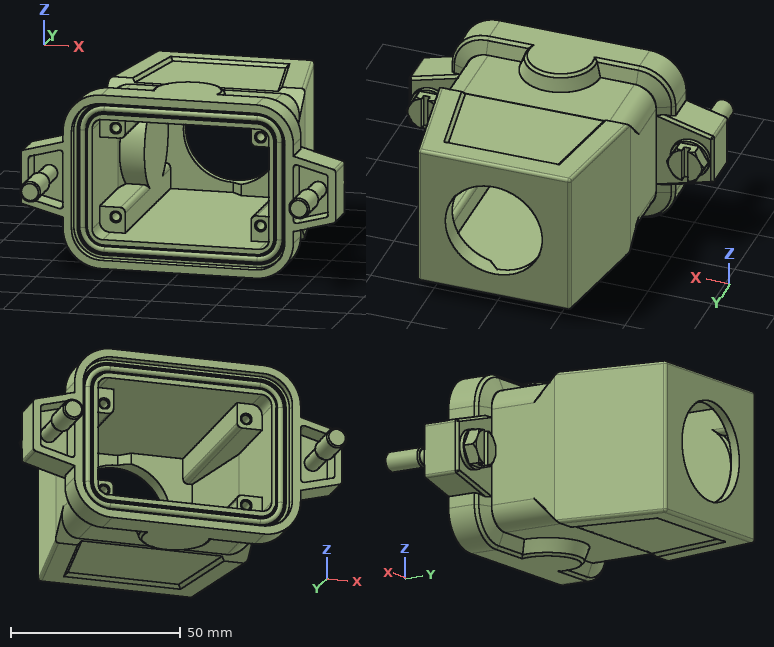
import cadquery as cq
import math


FLANGE_HALF_X = 35.1
FLANGE_HALF_Z = 26.5
FLANGE_CORNER = 11.5
FLANGE_WALL_END = 9.2
FLANGE_CHAMFER = 1.0
SHOULDER_Y = 11.9

BODY_HALF_X = 30.0
BODY_HALF_Z = 21.5
BODY_CORNER = 6.9

TAPER_START = 34.2
BACK_Y = 69.8
BACK_HALF_X = 24.0
BLOCK_HALF_Z = 23.0
BLOCK_SLOPE_TOP_Y = 35.4
BLOCK_SLOPE_LOW_Z = 14.6
BLOCK_EDGE = 1.0

LABEL_BACK_Y = 63.0
LABEL_MARGIN = 7.0
LABEL_DEPTH = 1.1
LABEL_WALL_ANGLE = 45

PAD_BASE_RADIUS = 12.4
PAD_TOP_RADIUS = 10.8
PAD_CHAMFER = 0.9
PAD_ROOT_DEPTH = 1.0

SEAT_HALF_X = 32.5
SEAT_HALF_Z = 23.9
SEAT_CORNER = 9.1
SEAT_DEPTH = 2.9
GASKET_HALF_X = 30.0
GASKET_HALF_Z = 21.5
GASKET_CORNER = 6.6
GASKET_RADIUS = 1.0
GASKET_RISE = 0.3
GROOVE_HALF_WIDTH = 1.5
GROOVE_DEPTH = 1.2
GROOVE_END_Y = SEAT_DEPTH + GROOVE_DEPTH
GASKET_FOOT_HALF_WIDTH = 1.2
GASKET_FOOT_DROP = 0.6

SIDE_WALL = 3.0
CAVITY_HALF_X = BODY_HALF_X - SIDE_WALL
CAVITY_HALF_Z = 18.3
CAVITY_CORNER = 3.2
FLOOR_Y = 63.8
FLOOR_RAMP_WIDTH = 3.2
DEEP_FLOOR_Y = FLOOR_Y + FLOOR_RAMP_WIDTH
CABLE_HOLE_RADIUS = 15.3

POST_INNER_X = 19.2
POST_INNER_Z = 10.6
POST_FRONT_Y = 12.0
POST_CORNER = 1.5
POST_HOLE_X = 22.1
POST_HOLE_Z = 13.5
POST_HOLE_RADIUS = 1.3
POST_HOLE_DEPTH = 11.5
POST_HOLE_CHAMFER = 0.4
WEB_RADIUS = 14.4
WEB_CENTER_Y = 49.7

TAB_END_X = 48.0
TAB_END_HALF_Z = 8.1
TAB_ROOT_HALF_Z = 11.5
TAB_EDGE = 0.9
TAB_WALL = 2.3
TAB_PLATE = 4.7
TAB_POCKET_CORNER = 1.0

SCREW_X = 41.0
WASHER_RADIUS = 6.0
WASHER_THICKNESS = 1.3
HEX_ACROSS_CORNERS = 11.9
HEX_TOP_Y = 17.3
HEX_EDGE = 0.7
SLOT_WIDTH = 1.9
SLOT_DEPTH = 2.1
NECK_RADIUS = 2.4
THREAD_RADIUS = 3.1
THREAD_START_Y = -4.7
THREAD_TIP_Y = -16.8
THREAD_CHAMFER = 0.5

SIDES = (-1, 1)
TAPER_SLOPE = (BODY_HALF_X - BACK_HALF_X) / (BACK_Y - TAPER_START)


def section(y):
    """Sketch plane at depth y: local x is X, local y is -Z, extrusion runs towards +Y."""
    return cq.Workplane(cq.Plane(origin=(0, y, 0), xDir=(1, 0, 0), normal=(0, 1, 0)))


def rounded_block(half_x, half_z, corner, y0, y1):
    block = section(y0).rect(2 * half_x, 2 * half_z).extrude(y1 - y0)
    return block.edges("|Y").fillet(corner)


def box(x0, x1, y0, y1, z0, z1):
    return cq.Workplane("XY").box(x1 - x0, y1 - y0, z1 - z0, centered=False).translate((x0, y0, z0))


def taper_half_x(start_half_x, y):
    """Half width at depth y of an outline parallel to the block's tapering sides."""
    return start_half_x - TAPER_SLOPE * (y - TAPER_START)


def tapered_prism(half_x, y0, y1, half_z):
    """Plan outline that is straight up to the taper start, then narrows towards the back."""
    end_x = taper_half_x(half_x, y1)
    right = [(half_x, y0), (half_x, TAPER_START), (end_x, y1)]
    left = [(-x, y) for x, y in reversed(right)]
    return cq.Workplane("XY").workplane(offset=-half_z).polyline(right + left).close().extrude(2 * half_z)


def make_flange():
    """Upright wall with a chamfered edge, then a flat slope rising to the body."""
    slope_start = FLANGE_WALL_END + FLANGE_CHAMFER
    wall = rounded_block(FLANGE_HALF_X, FLANGE_HALF_Z, FLANGE_CORNER, 0, slope_start)
    wall = wall.faces(">Y").edges().chamfer(FLANGE_CHAMFER)
    inset = FLANGE_HALF_X - FLANGE_CHAMFER - BODY_HALF_X
    slope_angle = math.degrees(math.atan2(inset, SHOULDER_Y - slope_start))
    outline = cq.Sketch().rect(
        2 * (FLANGE_HALF_X - FLANGE_CHAMFER), 2 * (FLANGE_HALF_Z - FLANGE_CHAMFER)
    ).vertices().fillet(FLANGE_CORNER - FLANGE_CHAMFER)
    slope = section(slope_start).placeSketch(outline).extrude(SHOULDER_Y - slope_start, taper=slope_angle)
    return wall.union(slope)


def make_tapered_block():
    slope_low_y = BLOCK_SLOPE_TOP_Y - (BLOCK_HALF_Z - BLOCK_SLOPE_LOW_Z)
    plan = tapered_prism(BODY_HALF_X, slope_low_y, BACK_Y, BLOCK_HALF_Z)
    top_and_bottom = plan.faces(">Z or <Z").edges()
    behind_shoulder = top_and_bottom.filter(lambda edge: edge.Center().y > TAPER_START)
    taper_edges = behind_shoulder.filter(lambda edge: abs(edge.Center().x) > BACK_HALF_X / 2)
    plan = taper_edges.add(plan.faces(">Y").edges()).fillet(BLOCK_EDGE)
    upper = [
        (slope_low_y, BLOCK_SLOPE_LOW_Z),
        (BLOCK_SLOPE_TOP_Y, BLOCK_HALF_Z),
        (BACK_Y, BLOCK_HALF_Z),
    ]
    lower = [(y, -z) for y, z in reversed(upper)]
    side = cq.Workplane("YZ").polyline(upper + lower).close().extrude(BODY_HALF_X, both=True)
    return plan.intersect(side)


def make_label_recess(side):
    """Shallow trapezoid with sloped walls, open towards the mouth."""
    front_y = TAPER_START - 2 * LABEL_DEPTH
    front_x = taper_half_x(BODY_HALF_X - LABEL_MARGIN, front_y)
    back_x = taper_half_x(BODY_HALF_X - LABEL_MARGIN, LABEL_BACK_Y)
    outline = [(-front_x, front_y), (front_x, front_y), (back_x, LABEL_BACK_Y), (-back_x, LABEL_BACK_Y)]
    recess = (
        cq.Workplane("XY", origin=(0, 0, BLOCK_HALF_Z))
        .polyline(outline).close().extrude(-LABEL_DEPTH, taper=LABEL_WALL_ANGLE)
    )
    return recess if side > 0 else recess.mirror("XY")


def make_pad(side):
    """Conical half-round pad standing on the body and flush with the flange."""
    chamfer_z = FLANGE_HALF_Z - PAD_CHAMFER
    draft = (PAD_BASE_RADIUS - PAD_TOP_RADIUS) / (chamfer_z - BODY_HALF_Z)
    root_z = BODY_HALF_Z - PAD_ROOT_DEPTH
    profile = [
        (0, root_z),
        (PAD_BASE_RADIUS + draft * PAD_ROOT_DEPTH, root_z),
        (PAD_TOP_RADIUS, chamfer_z),
        (PAD_TOP_RADIUS - PAD_CHAMFER, FLANGE_HALF_Z),
        (0, FLANGE_HALF_Z),
    ]
    cone = cq.Workplane("XZ").polyline(profile).close().revolve(360, (0, 0), (0, 1))
    cone = cone.translate((0, SHOULDER_Y, 0))
    reach = 2 * PAD_BASE_RADIUS
    pad = cone.intersect(box(-reach, reach, FLANGE_WALL_END, SHOULDER_Y + reach, 0, FLANGE_HALF_Z))
    return pad if side > 0 else pad.mirror("XY")


def tab_half_z(x):
    share = (x - FLANGE_HALF_X) / (TAB_END_X - FLANGE_HALF_X)
    return TAB_ROOT_HALF_Z + share * (TAB_END_HALF_Z - TAB_ROOT_HALF_Z)


def tab_prism(x0, x1, inset, depth):
    z0 = tab_half_z(x0) - inset
    z1 = tab_half_z(x1) - inset
    return section(0).polyline([(x0, -z0), (x1, -z1), (x1, z1), (x0, z0)]).close().extrude(depth)


def make_tab():
    tab = tab_prism(BODY_HALF_X, TAB_END_X, 0, SHOULDER_Y)
    tab = tab.edges("|Y and >X").fillet(TAB_EDGE)
    return tab.faces(">Y").edges("not <X").chamfer(TAB_EDGE)


def make_tab_pocket():
    pocket = tab_prism(FLANGE_HALF_X, TAB_END_X - TAB_WALL, TAB_WALL, SHOULDER_Y - TAB_PLATE)
    return pocket.edges("|Y").fillet(TAB_POCKET_CORNER)


def make_screw():
    hex_y = SHOULDER_Y + WASHER_THICKNESS
    profile = [
        (0, THREAD_TIP_Y),
        (THREAD_RADIUS - THREAD_CHAMFER, THREAD_TIP_Y),
        (THREAD_RADIUS, THREAD_TIP_Y + THREAD_CHAMFER),
        (THREAD_RADIUS, THREAD_START_Y - THREAD_CHAMFER),
        (THREAD_RADIUS - THREAD_CHAMFER, THREAD_START_Y),
        (NECK_RADIUS, THREAD_START_Y),
        (NECK_RADIUS, SHOULDER_Y),
        (WASHER_RADIUS, SHOULDER_Y),
        (WASHER_RADIUS, hex_y),
        (0, hex_y),
    ]
    shank = cq.Workplane("XY").polyline(profile).close().revolve(360, (0, 0), (0, 1))
    head = section(hex_y).polygon(6, HEX_ACROSS_CORNERS).extrude(HEX_TOP_Y - hex_y)
    crown = section(hex_y).circle(HEX_ACROSS_CORNERS / 2).extrude(HEX_TOP_Y - hex_y)
    head = head.intersect(crown.faces(">Y").edges().chamfer(HEX_EDGE))
    half_slot = SLOT_WIDTH / 2
    slot = box(-half_slot, half_slot, HEX_TOP_Y - SLOT_DEPTH, HEX_TOP_Y, -WASHER_RADIUS, WASHER_RADIUS)
    return shank.union(head.cut(slot)).translate((SCREW_X, 0, 0))


def make_cavity():
    """Room inside the walls; the floor is deeper on the -X half and ramps up past the middle."""
    room = tapered_prism(CAVITY_HALF_X, SEAT_DEPTH, DEEP_FLOOR_Y, CAVITY_HALF_Z)
    room = room.intersect(
        rounded_block(CAVITY_HALF_X, CAVITY_HALF_Z, CAVITY_CORNER, SEAT_DEPTH, DEEP_FLOOR_Y)
    )
    step = [
        (0, DEEP_FLOOR_Y),
        (FLOOR_RAMP_WIDTH, FLOOR_Y),
        (CAVITY_HALF_X, FLOOR_Y),
        (CAVITY_HALF_X, DEEP_FLOOR_Y),
    ]
    return room.cut(cq.Workplane("XY").polyline(step).close().extrude(CAVITY_HALF_Z, both=True))


def make_post(side_x, side_z):
    post = box(POST_INNER_X, BODY_HALF_X, POST_FRONT_Y, BACK_Y, POST_INNER_Z, BODY_HALF_Z)
    post = post.edges("|Y and <X and <Z").fillet(POST_CORNER)
    rim = POST_HOLE_RADIUS + POST_HOLE_CHAMFER
    profile = [
        (0, 0),
        (rim, 0),
        (POST_HOLE_RADIUS, POST_HOLE_CHAMFER),
        (POST_HOLE_RADIUS, POST_HOLE_DEPTH),
        (0, POST_HOLE_DEPTH),
    ]
    hole = cq.Workplane("XY").polyline(profile).close().revolve(360, (0, 0), (0, 1))
    post = post.cut(hole.translate((POST_HOLE_X, POST_FRONT_Y, POST_HOLE_Z)))
    if side_x < 0:
        post = post.mirror("YZ")
    return post if side_z > 0 else post.mirror("XY")


def make_web():
    """Rounded thickening of the -X wall, a cylinder along X ending flush with the posts."""
    web = cq.Workplane("YZ", origin=(-BODY_HALF_X, WEB_CENTER_Y, 0)).circle(WEB_RADIUS)
    return web.extrude(BODY_HALF_X - POST_INNER_X)


def seat_ring(half_width, y0, y1):
    """Flat ring centred on the gasket path."""
    outside, inside = [
        rounded_block(GASKET_HALF_X + grow, GASKET_HALF_Z + grow, GASKET_CORNER + grow, y0, y1)
        for grow in (half_width, -half_width)
    ]
    return outside.cut(inside)


def make_gasket():
    """Round bead on a flat foot in the groove, its crest standing just proud of the seat."""
    center_y = SEAT_DEPTH - GASKET_RISE + GASKET_RADIUS
    ring = rounded_block(GASKET_HALF_X, GASKET_HALF_Z, GASKET_CORNER, center_y, SHOULDER_Y)
    path = ring.faces("<Y").wires()
    bead = cq.Workplane("YZ", origin=(0, center_y, GASKET_HALF_Z)).circle(GASKET_RADIUS)
    foot = seat_ring(GASKET_FOOT_HALF_WIDTH, SEAT_DEPTH + GASKET_FOOT_DROP, GROOVE_END_Y)
    return foot.union(bead.sweep(path))


body = rounded_block(BODY_HALF_X, BODY_HALF_Z, BODY_CORNER, 0, TAPER_START)
shell = make_tapered_block()
for side in SIDES:
    shell = shell.cut(make_label_recess(side))
shell = shell.union(body).union(make_flange())
for side in SIDES:
    shell = shell.union(make_pad(side))

tab = make_tab()
shell = shell.union(tab).union(tab.mirror("YZ"))

room = make_cavity()
for side_x in SIDES:
    for side_z in SIDES:
        room = room.cut(make_post(side_x, side_z))
room = room.cut(make_web())
shell = shell.cut(room)

cable_hole = section(FLOOR_Y).circle(CABLE_HOLE_RADIUS).extrude(BACK_Y - FLOOR_Y)
shell = shell.cut(cable_hole)
shell = shell.cut(rounded_block(SEAT_HALF_X, SEAT_HALF_Z, SEAT_CORNER, 0, SEAT_DEPTH))
shell = shell.cut(seat_ring(GROOVE_HALF_WIDTH, SEAT_DEPTH, GROOVE_END_Y)).union(make_gasket())

pocket = make_tab_pocket()
screw = make_screw()
shell = shell.cut(pocket).cut(pocket.mirror("YZ"))

result = shell.union(screw).union(screw.mirror("YZ"))